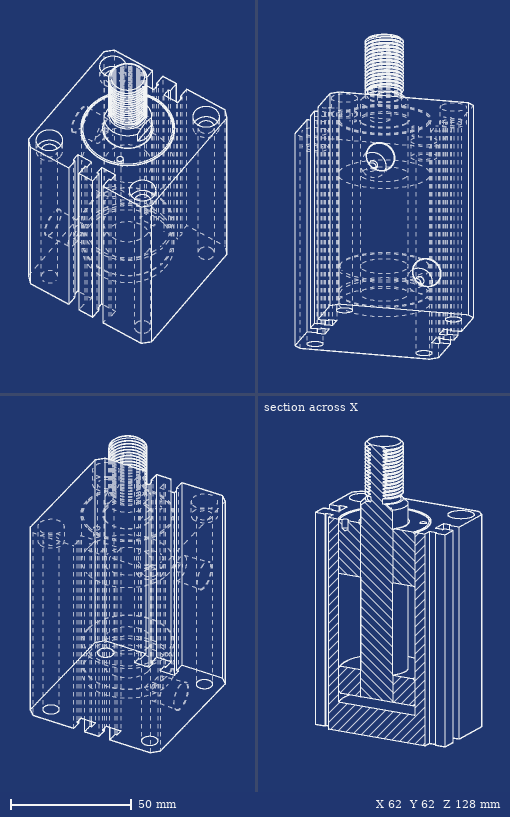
import cadquery as cq
import math


HOUSING_SIDE = 62.0
HOUSING_HEIGHT = 92.9
CORNER_CHAMFER = 3.1
BORE_DIAMETER = 38.4
BORE_FLOOR_Z = 12.8
BORE_CHAMFER = 0.4

MOUNT_PITCH = 47.0
MOUNT_DIAMETER = 6.8
COUNTERBORE_DIAMETER = 11.0
COUNTERBORE_DEPTH = 7.0

SLOT_OFFSET = 6.0
SLOT_MOUTH_WIDTH = 5.1
SLOT_MOUTH_DEPTH = 4.6
SLOT_INNER_WIDTH = 6.9
SLOT_DEPTH = 8.0

PORT_OFFSET = 10.0
UPPER_PORT_Z = 66.0
LOWER_PORT_Z = 17.0
PORT_MOUTH_DIAMETER = 12.4
PORT_MOUTH_CHAMFER = 0.3
PORT_BOTTOM_DIAMETER = 11.0
PORT_DEPTH = 11.5
PASSAGE_DIAMETER = 3.7

COVER_LENGTH = 24.0
COVER_CHAMFER = 0.5
SPANNER_CIRCLE_RADIUS = 16.4
SPANNER_ANGLE = 113.0
SPANNER_DIAMETER = 2.7
SPANNER_DEPTH = 3.8
DRILL_POINT_ANGLE = 118.0

PISTON_BOTTOM_Z = 16.6
PISTON_LENGTH = 12.0
PISTON_CHAMFER = 0.8

ROD_TOP_Z = 128.0
ROD_DIAMETER = 20.0
SHOULDER_Z = 102.9
SHOULDER_CHAMFER = 2.0
FLAT_WIDTH = 17.0
FLAT_BOTTOM_Z = 96.1
NECK_DIAMETER = 14.0
NECK_LENGTH = 2.0

THREAD_DIAMETER = 16.0
THREAD_ROOT_DIAMETER = 14.2
THREAD_START_Z = 104.0
THREAD_END_Z = 126.6
THREAD_TURNS = 15
THREAD_ROOT_FLAT = 0.3
THREAD_FLANK_ANGLE = 30.0
THREAD_END_CHAMFER = 1.0
CUTTER_OVERRUN = 0.1


def cylinder(diameter, bottom, top):
    """Cylinder on the Z axis between two heights."""
    return cq.Workplane("XY").workplane(offset=bottom).circle(diameter / 2).extrude(top - bottom)


def countersink(mouth_diameter, depth, mouth_z):
    """45 degree cone that narrows downward from mouth_z."""
    bottom_diameter = mouth_diameter - 2 * depth
    cone = cq.Solid.makeCone(bottom_diameter / 2, mouth_diameter / 2, depth)
    return cq.Workplane(cone).translate((0, 0, mouth_z - depth))


def t_slot():
    """Full-height cutter for a T-slot in the +Y side, centred on X = 0."""
    side_y = HOUSING_SIDE / 2
    mouth = cq.Workplane("XY").rect(SLOT_MOUTH_WIDTH, 2 * SLOT_MOUTH_DEPTH).extrude(HOUSING_HEIGHT)
    inner_depth = SLOT_DEPTH - SLOT_MOUTH_DEPTH
    inner_y = side_y - SLOT_MOUTH_DEPTH - inner_depth / 2
    inner = cq.Workplane("XY").rect(SLOT_INNER_WIDTH, inner_depth).extrude(HOUSING_HEIGHT)
    return mouth.translate((0, side_y, 0)).union(inner.translate((0, inner_y, 0)))


def port(y, z):
    """Cutter for a tapered port in the -X side with a narrow passage into the bore."""
    mouth_radius = PORT_MOUTH_DIAMETER / 2
    profile = (
        cq.Workplane("XY")
        .polyline([
            (0, 0),
            (mouth_radius, 0),
            (mouth_radius - PORT_MOUTH_CHAMFER, PORT_MOUTH_CHAMFER),
            (PORT_BOTTOM_DIAMETER / 2, PORT_DEPTH),
            (PASSAGE_DIAMETER / 2, PORT_DEPTH),
            (PASSAGE_DIAMETER / 2, HOUSING_SIDE / 2),
            (0, HOUSING_SIDE / 2),
        ])
        .close()
    )
    along_y = profile.revolve(360, (0, 0, 0), (0, 1, 0))
    along_x = along_y.rotate((0, 0, 0), (0, 0, 1), -90)
    return along_x.translate((-HOUSING_SIDE / 2, y, z))


def make_housing():
    block = (
        cq.Workplane("XY")
        .rect(HOUSING_SIDE, HOUSING_SIDE)
        .extrude(HOUSING_HEIGHT)
        .edges("|Z")
        .chamfer(CORNER_CHAMFER)
    )
    block = (
        block.faces(">Z").workplane()
        .rect(MOUNT_PITCH, MOUNT_PITCH, forConstruction=True)
        .vertices()
        .cboreHole(MOUNT_DIAMETER, COUNTERBORE_DIAMETER, COUNTERBORE_DEPTH)
    )
    for x in (-SLOT_OFFSET, SLOT_OFFSET):
        slot = t_slot().translate((x, 0, 0))
        block = block.cut(slot).cut(slot.mirror("XZ"))
    block = block.cut(cylinder(BORE_DIAMETER, BORE_FLOOR_Z, HOUSING_HEIGHT))
    block = block.cut(countersink(BORE_DIAMETER + 2 * BORE_CHAMFER, BORE_CHAMFER, HOUSING_HEIGHT))
    block = block.cut(port(PORT_OFFSET, UPPER_PORT_Z))
    return block.cut(port(-PORT_OFFSET, LOWER_PORT_Z))


def spanner_hole(angle):
    """Cutter for a blind drilled hole in the top face of the cover."""
    radius = SPANNER_DIAMETER / 2
    point_length = radius / math.tan(math.radians(DRILL_POINT_ANGLE / 2))
    drill = (
        cq.Workplane("XZ")
        .polyline([
            (0, 0),
            (radius, 0),
            (radius, -SPANNER_DEPTH),
            (0, -SPANNER_DEPTH - point_length),
        ])
        .close()
        .revolve(360, (0, 0, 0), (0, 1, 0))
    )
    drill = drill.translate((SPANNER_CIRCLE_RADIUS, 0, HOUSING_HEIGHT))
    return drill.rotate((0, 0, 0), (0, 0, 1), angle)


def make_cover():
    cover = cylinder(BORE_DIAMETER, HOUSING_HEIGHT - COVER_LENGTH, HOUSING_HEIGHT)
    cover = cover.faces(">Z").chamfer(COVER_CHAMFER)
    cover = cover.cut(cylinder(ROD_DIAMETER, HOUSING_HEIGHT - COVER_LENGTH, HOUSING_HEIGHT))
    cover = cover.cut(countersink(ROD_DIAMETER + 2 * COVER_CHAMFER, COVER_CHAMFER, HOUSING_HEIGHT))
    for angle in (SPANNER_ANGLE, SPANNER_ANGLE + 180):
        cover = cover.cut(spanner_hole(angle))
    return cover


def make_piston():
    top = PISTON_BOTTOM_Z + PISTON_LENGTH
    disc = cylinder(BORE_DIAMETER, PISTON_BOTTOM_Z, top).faces("<Z or >Z").chamfer(PISTON_CHAMFER)
    return disc.cut(cylinder(ROD_DIAMETER, PISTON_BOTTOM_Z, top))


def wrench_flat():
    """Cutter for the +X wrench flat, which runs out at 45 degrees at its lower end."""
    flat_x = FLAT_WIDTH / 2
    outer_x = ROD_DIAMETER / 2
    return (
        cq.Workplane("XZ")
        .polyline([
            (flat_x, SHOULDER_Z),
            (flat_x, FLAT_BOTTOM_Z),
            (outer_x, FLAT_BOTTOM_Z - (outer_x - flat_x)),
            (outer_x, SHOULDER_Z),
        ])
        .close()
        .extrude(outer_x, both=True)
    )


def thread_groove():
    """Cutter for the helical V-groove of a right-hand thread."""
    root_radius = THREAD_ROOT_DIAMETER / 2
    outer_radius = THREAD_DIAMETER / 2 + CUTTER_OVERRUN
    root_half = THREAD_ROOT_FLAT / 2
    flank_rise = (outer_radius - root_radius) * math.tan(math.radians(THREAD_FLANK_ANGLE))
    outer_half = root_half + flank_rise
    thread_length = THREAD_END_Z - THREAD_START_Z
    helix = cq.Wire.makeHelix(thread_length / THREAD_TURNS, thread_length, root_radius)
    groove = (
        cq.Workplane("XZ")
        .polyline([
            (root_radius, -root_half),
            (outer_radius, -outer_half),
            (outer_radius, outer_half),
            (root_radius, root_half),
        ])
        .close()
        .sweep(cq.Workplane(helix), isFrenet=True)
    )
    return groove.translate((0, 0, THREAD_START_Z))


def make_rod():
    shank = cylinder(ROD_DIAMETER, PISTON_BOTTOM_Z, SHOULDER_Z).faces(">Z").chamfer(SHOULDER_CHAMFER)
    flat = wrench_flat()
    shank = shank.cut(flat).cut(flat.mirror("YZ"))
    neck_top = SHOULDER_Z + NECK_LENGTH
    neck = cylinder(NECK_DIAMETER, SHOULDER_Z, neck_top)
    stud = cylinder(THREAD_DIAMETER, neck_top, ROD_TOP_Z).faces(">Z").chamfer(THREAD_END_CHAMFER)
    stud = stud.cut(thread_groove())
    return shank.union(neck).union(stud)


housing = make_housing()
cover = make_cover()
piston = make_piston()
rod = make_rod()

bodies = [housing, cover, piston, rod]
result = cq.Compound.makeCompound([body.solids().val() for body in bodies])